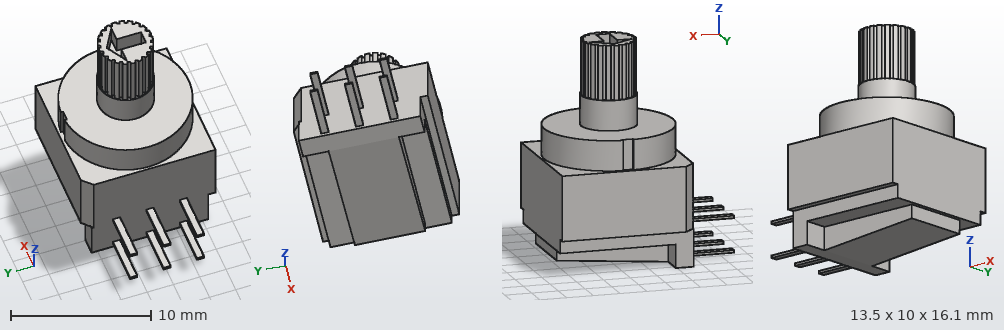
import cadquery as cq

total_height = 16.1
body_width = 10.0
half_body = body_width / 2

knurl_length = 4.02
collar_height = 2.24
dial_height = 2.24
body_height = 4.83
base_plate_height = 1.01
knurl_bottom = total_height - knurl_length
collar_bottom = knurl_bottom - collar_height
dial_bottom = collar_bottom - dial_height
body_bottom = dial_bottom - body_height
base_plate_bottom = body_bottom - base_plate_height

corner_chamfer = 0.72
base_width = 8.9
leg_thickness = 1.34
wedge_width = 5.15
wedge_end_inset = 0.34
wedge_rise = 0.72

dial_diameter = 9.61
notch_width = 0.77
notch_depth = 0.2
collar_diameter = 4.1
knurl_diameter = 4.0
groove_count = 21
groove_width = 0.23
groove_depth = 0.2

arrow_tip_y = 1.43
arrow_shoulder_y = 0.5
arrow_tail_y = -1.37
arrow_head_width = 3.15
arrow_shaft_width = 1.0
arrow_depth = 1.29

pin_pitch = 2.55
pin_length = 3.51
pin_width = 0.55
pin_thickness = 0.2
lower_pin_z = 0.45
pin_columns = 3
pin_rows = 2


def make_body():
    """Square housing with one chamfered corner at -X, +Y."""
    block = cq.Workplane("XY").workplane(offset=body_bottom).rect(body_width, body_width).extrude(body_height)
    return block.edges("|Z and <X and >Y").chamfer(corner_chamfer)


def make_base():
    """Narrower base plate with a full-depth leg along the pin side."""
    profile = [
        (-half_body, 0),
        (-half_body + leg_thickness, 0),
        (-half_body + leg_thickness, base_plate_bottom),
        (half_body, base_plate_bottom),
        (half_body, body_bottom),
        (-half_body, body_bottom),
    ]
    return cq.Workplane("XZ").polyline(profile).close().extrude(base_width / 2, both=True)


def make_wedge():
    """Central block under the base plate whose underside rises toward +X."""
    start_x = -half_body + leg_thickness
    end_x = half_body - wedge_end_inset
    profile = [
        (start_x, 0),
        (end_x, wedge_rise),
        (end_x, base_plate_bottom),
        (start_x, base_plate_bottom),
    ]
    return cq.Workplane("XZ").polyline(profile).close().extrude(wedge_width / 2, both=True)


def make_dial():
    """Round dial with a small index notch in its +Y rim."""
    disc = cq.Workplane("XY").workplane(offset=dial_bottom).circle(dial_diameter / 2).extrude(dial_height)
    notch = (
        cq.Workplane("XY")
        .workplane(offset=dial_bottom)
        .center(0, dial_diameter / 2)
        .rect(notch_width, 2 * notch_depth)
        .extrude(dial_height)
    )
    return disc.cut(notch)


def make_shaft():
    """Plain collar topped by a grooved knob with an arrow recess."""
    collar = (
        cq.Workplane("XY").workplane(offset=collar_bottom).circle(collar_diameter / 2).extrude(collar_height)
    )
    knob = cq.Workplane("XY").workplane(offset=knurl_bottom).circle(knurl_diameter / 2).extrude(knurl_length)

    groove = (
        cq.Workplane("XY")
        .workplane(offset=knurl_bottom)
        .center(0, -knurl_diameter / 2)
        .slot2D(2 * groove_depth, groove_width, 90)
        .extrude(knurl_length)
    )
    for index in range(groove_count):
        knob = knob.cut(groove.rotate((0, 0, 0), (0, 0, 1), index * 360 / groove_count))

    arrow = [
        (0, arrow_tip_y),
        (arrow_head_width / 2, arrow_shoulder_y),
        (arrow_shaft_width / 2, arrow_shoulder_y),
        (arrow_shaft_width / 2, arrow_tail_y),
        (-arrow_shaft_width / 2, arrow_tail_y),
        (-arrow_shaft_width / 2, arrow_shoulder_y),
        (-arrow_head_width / 2, arrow_shoulder_y),
    ]
    recess = cq.Workplane("XY").workplane(offset=total_height).polyline(arrow).close().extrude(-arrow_depth)
    return collar.union(knob.cut(recess))


def make_pins():
    """Two rows of flat pins standing out of the -X face."""
    upper_row_center = lower_pin_z + (pin_rows - 1) * pin_pitch / 2
    return (
        cq.Workplane("YZ", origin=(-half_body, 0, upper_row_center))
        .rarray(pin_pitch, pin_pitch, pin_columns, pin_rows)
        .rect(pin_width, pin_thickness)
        .extrude(-pin_length)
    )


result = make_body()
for section in (make_base(), make_wedge(), make_dial(), make_shaft(), make_pins()):
    result = result.union(section)